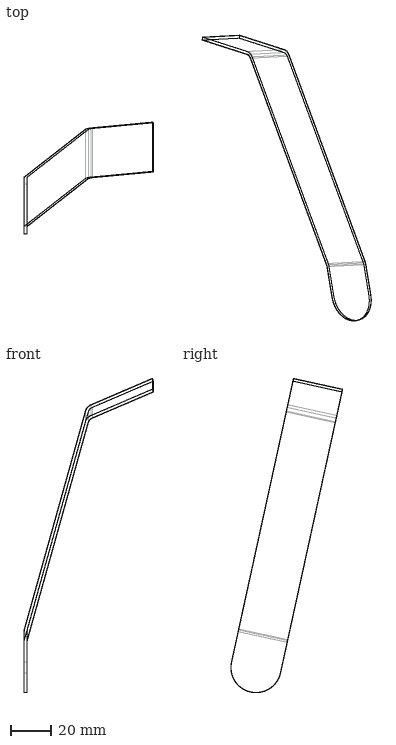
import cadquery as cq
import math

strip_width = 25.0
thickness = 1.5
outer_bend_radius = 5.0
arm_lean = 15.3
top_lean = 66.3
strip_tilt = 12.34

pad_length = 15.5
arm_length = 114.72
top_length = 33.19

pad_radius = strip_width / 2


def advance(point, lean, distance):
    """Point reached by going straight along a strip that leans towards +X."""
    angle = math.radians(lean)
    return (point[0] + distance * math.sin(angle), point[1] + distance * math.cos(angle))


def toward_inside(point, lean, distance):
    """Point reached by going square to the strip, from its outer face to the inside of the bends."""
    return advance(point, lean + 90, distance)


def bend_point(center, lean, radius):
    """Point on a bend where the strip has the given lean."""
    return toward_inside(center, lean, -radius)


def side_profile():
    """Closed outline of the bent strip in the XZ plane."""
    inner_bend_radius = outer_bend_radius - thickness
    arm_mid_lean = arm_lean / 2
    top_mid_lean = (arm_lean + top_lean) / 2

    foot = (0.0, -pad_radius)
    pad_top = (0.0, pad_length)
    low_center = toward_inside(pad_top, 0, outer_bend_radius)
    arm_start = bend_point(low_center, arm_lean, outer_bend_radius)
    arm_end = advance(arm_start, arm_lean, arm_length)
    high_center = toward_inside(arm_end, arm_lean, outer_bend_radius)
    top_start = bend_point(high_center, top_lean, outer_bend_radius)
    top_end = advance(top_start, top_lean, top_length)

    return (
        cq.Workplane("XZ")
        .moveTo(*foot)
        .lineTo(*pad_top)
        .threePointArc(bend_point(low_center, arm_mid_lean, outer_bend_radius), arm_start)
        .lineTo(*arm_end)
        .threePointArc(bend_point(high_center, top_mid_lean, outer_bend_radius), top_start)
        .lineTo(*top_end)
        .lineTo(*toward_inside(top_end, top_lean, thickness))
        .lineTo(*bend_point(high_center, top_lean, inner_bend_radius))
        .threePointArc(
            bend_point(high_center, top_mid_lean, inner_bend_radius),
            bend_point(high_center, arm_lean, inner_bend_radius),
        )
        .lineTo(*bend_point(low_center, arm_lean, inner_bend_radius))
        .threePointArc(
            bend_point(low_center, arm_mid_lean, inner_bend_radius),
            bend_point(low_center, 0, inner_bend_radius),
        )
        .lineTo(*toward_inside(foot, 0, thickness))
        .close()
    )


def round_pad_end(strip):
    """Trim the foot of the pad to a half circle across the full strip width."""
    corners = (
        cq.Workplane("YZ")
        .moveTo(-pad_radius, 0)
        .threePointArc((0, -pad_radius), (pad_radius, 0))
        .lineTo(pad_radius, -strip_width)
        .lineTo(-pad_radius, -strip_width)
        .close()
        .extrude(thickness)
    )
    return strip.cut(corners)


strip = side_profile().extrude(strip_width / 2, both=True)
lever = round_pad_end(strip)
result = lever.rotate((0, 0, 0), (1, 0, 0), -strip_tilt)